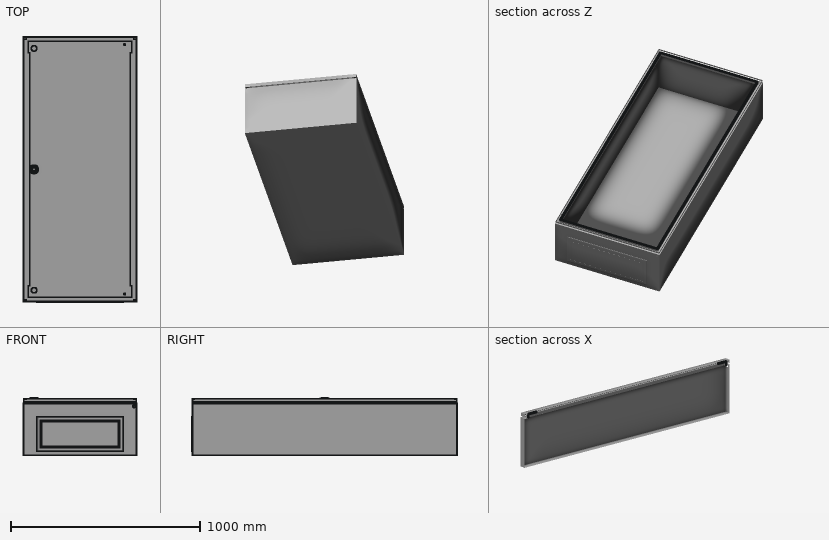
import cadquery as cq


WIDTH = 600.0
LENGTH = 1400.0
HOUSING_HEIGHT = 274.0
SHEET = 1.5
NECK_WALL = 10.0
NECK_WIDTH = 566.0
NECK_LENGTH = 1362.0
NECK_TOP = 290.0

REST_WIDTH = 12.0
REST_OUTER_X = -297.0
REST_TOP = 279.0
REST_Y = (-620.0, 0.0, 620.0)

DOOR_WIDTH = 596.0
DOOR_LENGTH = 1398.0
DOOR_BOTTOM = 282.0
DOOR_TOP = 300.0
DOOR_SHEET = 1.0
PAD_WIDTH = 546.0
PAD_WAIST_WIDTH = 532.0
PAD_LENGTH = 1354.0
PAD_WAIST_LENGTH = 1230.0
PAD_THICKNESS = 9.0
GUSSET_WIDTH = 15.0
GUSSET_LENGTH = 10.5
GUSSET_THICKNESS = 2.0
FASTENER_X = -243.0
FASTENER_Y = 639.0
FASTENER_DIAMETER = 29.0
PIN_HOLE_X = 236.0
PIN_HOLE_Y = 659.0
PIN_HOLE_DIAMETER = 8.0

OVERALL_HEIGHT = 304.1
LOCK_FLANGE_DIAMETER = 45.0
LOCK_FLANGE_THICKNESS = 1.0
LOCK_HEAD_DIAMETER = 33.0
LOCK_SHANK_DIAMETER = 22.0
LOCK_SOCKET_DIAMETER = 18.0
LOCK_SOCKET_DEPTH = 3.0

GLAND_WIDTH = 458.0
GLAND_HEIGHT = 184.0
GLAND_THICKNESS = 2.0
GLAND_CENTRE_Z = 113.0
GLAND_BEVEL_WIDTH = 4.5
GLAND_BEVEL_DEPTH = 1.0
GROOVE_OUTER_WIDTH = 422.0
GROOVE_OUTER_HEIGHT = 145.0
GROOVE_WIDTH = 8.5
GROOVE_DEPTH = 0.5

SIDE_HOLE_DIAMETER = 6.0
SIDE_HOLES_YZ = ((650.5, 233.0), (-650.5, 233.0), (659.0, 184.0))
END_HOLE_DIAMETER = 13.0
END_HOLE_X = 285.5
END_HOLE_Z = 259.0


def block(width, length, bottom, top):
    """Box centred on the Z axis between two heights."""
    return cq.Workplane("XY").workplane(offset=bottom).rect(width, length).extrude(top - bottom)


def disc(diameter, x, y, bottom, top):
    """Upright cylinder between two heights."""
    return cq.Workplane("XY").workplane(offset=bottom).center(x, y).circle(diameter / 2).extrude(top - bottom)


def end_panel(width, height, outer_y, depth):
    """Panel parallel to the -Y wall, centred on the gland plate, running inward from outer_y."""
    plane = cq.Workplane("XZ", origin=(0, outer_y, GLAND_CENTRE_Z))
    return plane.rect(width, height).extrude(-depth)


def make_housing():
    """Open sheet box with a neck round the door opening."""
    opening_width = NECK_WIDTH - 2 * NECK_WALL
    opening_length = NECK_LENGTH - 2 * NECK_WALL
    body = block(WIDTH, LENGTH, 0, HOUSING_HEIGHT)
    cavity = block(WIDTH - 2 * SHEET, LENGTH - 2 * SHEET, SHEET, HOUSING_HEIGHT - SHEET)
    neck = block(NECK_WIDTH, NECK_LENGTH, HOUSING_HEIGHT - SHEET, NECK_TOP)
    opening = block(opening_width, opening_length, HOUSING_HEIGHT - SHEET, NECK_TOP)
    body = body.cut(cavity).union(neck).cut(opening)

    rest_depth = -NECK_WIDTH / 2 - REST_OUTER_X
    for y in REST_Y:
        rest = block(rest_depth, REST_WIDTH, HOUSING_HEIGHT, REST_TOP)
        body = body.union(rest.translate((REST_OUTER_X + rest_depth / 2, y, 0)))

    body = body.cut(end_panel(GROOVE_OUTER_WIDTH, GROOVE_OUTER_HEIGHT, -LENGTH / 2, SHEET))
    side_holes = (
        cq.Workplane("YZ", origin=(-WIDTH / 2, 0, 0))
        .pushPoints(SIDE_HOLES_YZ)
        .circle(SIDE_HOLE_DIAMETER / 2)
        .extrude(SHEET)
    )
    end_hole = (
        cq.Workplane("XZ", origin=(END_HOLE_X, -LENGTH / 2, END_HOLE_Z))
        .circle(END_HOLE_DIAMETER / 2)
        .extrude(-SHEET)
    )
    return body.cut(side_holes).cut(end_hole)


def make_door():
    """Folded sheet tray, open downward, with corner gussets and a waisted pad under the sheet."""
    underside = DOOR_TOP - DOOR_SHEET
    pad_bottom = underside - PAD_THICKNESS
    tray = block(DOOR_WIDTH, DOOR_LENGTH, DOOR_BOTTOM, DOOR_TOP)
    hollow = block(DOOR_WIDTH - 2 * SHEET, DOOR_LENGTH - 2 * SHEET, DOOR_BOTTOM, underside)
    tray = tray.cut(hollow)

    gusset = block(GUSSET_WIDTH, GUSSET_LENGTH, underside - GUSSET_THICKNESS, underside)
    gusset_x = (DOOR_WIDTH - GUSSET_WIDTH) / 2
    gusset_y = (DOOR_LENGTH - GUSSET_LENGTH) / 2
    for x in (-gusset_x, gusset_x):
        for y in (-gusset_y, gusset_y):
            tray = tray.union(gusset.translate((x, y, 0)))

    for y in (-FASTENER_Y, FASTENER_Y):
        tray = tray.cut(disc(FASTENER_DIAMETER, FASTENER_X, y, underside, DOOR_TOP))
    for y in (-PIN_HOLE_Y, PIN_HOLE_Y):
        tray = tray.cut(disc(PIN_HOLE_DIAMETER, PIN_HOLE_X, y, underside, DOOR_TOP))

    end_length = (PAD_LENGTH - PAD_WAIST_LENGTH) / 2
    pad = block(PAD_WAIST_WIDTH, PAD_LENGTH, pad_bottom, underside)
    for side in (-1, 1):
        end = block(PAD_WIDTH, end_length, pad_bottom, underside)
        pad = pad.union(end.translate((0, side * (PAD_LENGTH - end_length) / 2, 0)))
    door = tray.union(pad)
    return door.cut(disc(LOCK_SHANK_DIAMETER, FASTENER_X, 0, pad_bottom, DOOR_TOP))


def make_lock():
    """Round lock: shank through the door, flange on its face and a head with a key socket."""
    flange_top = DOOR_TOP + LOCK_FLANGE_THICKNESS
    shank_bottom = DOOR_TOP - DOOR_SHEET - PAD_THICKNESS
    shank = disc(LOCK_SHANK_DIAMETER, FASTENER_X, 0, shank_bottom, DOOR_TOP)
    flange = disc(LOCK_FLANGE_DIAMETER, FASTENER_X, 0, DOOR_TOP, flange_top)
    head = disc(LOCK_HEAD_DIAMETER, FASTENER_X, 0, flange_top, OVERALL_HEIGHT)
    socket_bottom = OVERALL_HEIGHT - LOCK_SOCKET_DEPTH
    socket = disc(LOCK_SOCKET_DIAMETER, FASTENER_X, 0, socket_bottom, OVERALL_HEIGHT)
    return shank.union(flange).union(head).cut(socket)


def make_gland_plate():
    """Bevelled cover plate with a shallow rectangular groove in its outer face."""
    outer_y = -LENGTH / 2 - GLAND_THICKNESS
    plate = end_panel(GLAND_WIDTH, GLAND_HEIGHT, outer_y, GLAND_THICKNESS)
    plate = plate.faces("<Y").chamfer(GLAND_BEVEL_DEPTH, GLAND_BEVEL_WIDTH)
    groove = end_panel(GROOVE_OUTER_WIDTH, GROOVE_OUTER_HEIGHT, outer_y, GROOVE_DEPTH)
    island_width = GROOVE_OUTER_WIDTH - 2 * GROOVE_WIDTH
    island_height = GROOVE_OUTER_HEIGHT - 2 * GROOVE_WIDTH
    island = end_panel(island_width, island_height, outer_y, GROOVE_DEPTH)
    return plate.cut(groove.cut(island))


housing = make_housing()
door = make_door()
lock = make_lock()
gland_plate = make_gland_plate()

result = cq.Compound.makeCompound([housing.val(), door.val(), lock.val(), gland_plate.val()])